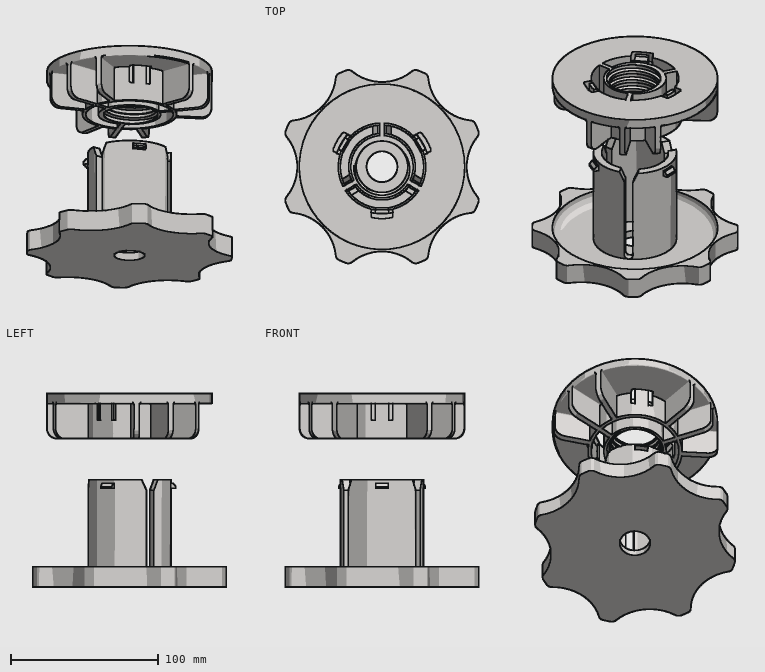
import cadquery as cq
HEIGHT = 131.7
SNAP_ANGLES = (-90, 30, 150)
SPOKE_ANGLES = (90, 210, 330)
FLANGE_RADIUS = 56.2

WHEEL_THICKNESS = 14.0
LOBE_COUNT = 8
LOBE_RADIUS = 70.0
LOBE_CORNER_RADIUS = 4.0
SCALLOP_RADIUS = 32.3
SCALLOP_VALLEY = 57.7
WHEEL_BORE_RADIUS = 10.4

RECESS_DEPTH = 8.5
RECESS_FILLET = 7.0
FLOOR_Z = WHEEL_THICKNESS - RECESS_DEPTH

SLEEVE_OUTER_RADIUS = 28.3
SLEEVE_INNER_RADIUS = 22.7
SLEEVE_TOP_Z = 73.1
SPLIT_HALF_WIDTH = 2.9
SPLIT_MOUTH_HALF_WIDTH = 6.3
SPLIT_MOUTH_DEPTH = 7.2

PEG_RADIUS = 31.6
PEG_TOP_RADIUS = 29.5
PEG_HALF_WIDTH = 4.3
PEG_BOTTOM_Z = 67.0
PEG_SHOULDER_Z = 68.4
PEG_TOP_Z = 70.7

CAP_DEPTH = 30.8
CAP_BOTTOM_Z = HEIGHT - CAP_DEPTH
FLANGE_THICKNESS = 7.0
FLANGE_BOTTOM_Z = HEIGHT - FLANGE_THICKNESS
FLANGE_FILLET = 0.8
BARREL_OUTER_RADIUS = 32.0
BARREL_INNER_RADIUS = 29.8
HUB_RADIUS = 21.2
WEB_THICKNESS = 3.3

RIB_THICKNESS = 3.7
RIB_OFFSET_ANGLE = 35
RIB_CORNER_RADIUS = 7.0

CATCH_HALF_WIDTH = 4.5
CATCH_OPENING_HALF_WIDTH = 7.4
CATCH_OPENING_RADIUS = 35.3
CATCH_OPENING_CORNER = 1.3
CATCH_ROOT_Z = 113.3
HOOK_TOP_RADIUS = 29.1
HOOK_TIP_RADIUS = 27.8
HOOK_TIP_Z = HEIGHT - 2.8
HOOK_BOTTOM_Z = HEIGHT - 6.6

THREAD_MINOR_RADIUS = 17.5
THREAD_MAJOR_RADIUS = 19.4
THREAD_PITCH = 7.0
GROOVE_MOUTH_WIDTH = 4.7
GROOVE_ROOT_WIDTH = 2.5
THREAD_START_ANGLE = -90
GROOVE_LEVEL_Z = 124.6
TURNS_BELOW_LEVEL = 4
GROOVE_TURNS = 6

TOLERANCE = 0.001


def cylinder(radius, bottom, top):
    return cq.Workplane("XY").workplane(offset=bottom).circle(radius).extrude(top - bottom)


def ring(outer, inner, bottom, top):
    return cylinder(outer, bottom, top).cut(cylinder(inner, bottom, top))


def radial_block(start, end, width, bottom, top):
    """Block along +X from radius `start` to radius `end`."""
    return (
        cq.Workplane("XY")
        .box(end - start, width, top - bottom, centered=(False, True, False))
        .translate((start, 0, bottom))
    )


def radial_profile(points, half_width):
    """Prism with an outline of (radius, z) points, as wide as 2 * half_width, along +X."""
    return cq.Workplane("XZ").polyline(points).close().extrude(half_width, both=True)


def turned(shape, angle):
    return shape.rotate((0, 0, 0), (0, 0, 1), angle)


def lobed_rim():
    rim = cylinder(LOBE_RADIUS, 0, WHEEL_THICKNESS)
    scallops = (
        cq.Workplane("XY")
        .polarArray(SCALLOP_VALLEY + SCALLOP_RADIUS, 0, 360, LOBE_COUNT)
        .circle(SCALLOP_RADIUS)
        .extrude(WHEEL_THICKNESS)
    )
    return rim.cut(scallops).edges("|Z").fillet(LOBE_CORNER_RADIUS)


def recess():
    return cylinder(FLANGE_RADIUS, FLOOR_Z, WHEEL_THICKNESS).faces("<Z").edges().fillet(RECESS_FILLET)


def split_cutter():
    """Round-bottomed slot with a flared mouth, through the sleeve wall on the +X side."""
    mouth_z = SLEEVE_TOP_Z - SPLIT_MOUTH_DEPTH
    round_z = FLOOR_Z + SPLIT_HALF_WIDTH
    return (
        cq.Workplane("YZ")
        .moveTo(-SPLIT_HALF_WIDTH, round_z)
        .threePointArc((0, FLOOR_Z), (SPLIT_HALF_WIDTH, round_z))
        .lineTo(SPLIT_HALF_WIDTH, mouth_z)
        .lineTo(SPLIT_MOUTH_HALF_WIDTH, SLEEVE_TOP_Z)
        .lineTo(-SPLIT_MOUTH_HALF_WIDTH, SLEEVE_TOP_Z)
        .lineTo(-SPLIT_HALF_WIDTH, mouth_z)
        .close()
        .extrude(FLANGE_RADIUS)
    )


def peg():
    root = (SLEEVE_INNER_RADIUS + SLEEVE_OUTER_RADIUS) / 2
    outline = [
        (root, PEG_BOTTOM_Z),
        (PEG_RADIUS, PEG_BOTTOM_Z),
        (PEG_RADIUS, PEG_SHOULDER_Z),
        (PEG_TOP_RADIUS, PEG_TOP_Z),
        (root, PEG_TOP_Z),
    ]
    return radial_profile(outline, PEG_HALF_WIDTH)


def make_handwheel():
    sleeve = ring(SLEEVE_OUTER_RADIUS, SLEEVE_INNER_RADIUS, FLOOR_Z, SLEEVE_TOP_Z)
    for angle in SPOKE_ANGLES:
        sleeve = sleeve.cut(turned(split_cutter(), angle))
    for angle in SNAP_ANGLES:
        sleeve = sleeve.union(turned(peg(), angle))
    wheel = lobed_rim().cut(recess()).cut(cylinder(WHEEL_BORE_RADIUS, 0, WHEEL_THICKNESS))
    return wheel.union(sleeve)


def rib_gaps():
    """Space around the barrel, below the flange, that the radial ribs divide."""
    gaps = ring(2 * FLANGE_RADIUS, BARREL_OUTER_RADIUS, CAP_BOTTOM_Z, FLANGE_BOTTOM_Z)
    rib = radial_block(0, 3 * FLANGE_RADIUS, RIB_THICKNESS, CAP_BOTTOM_Z, FLANGE_BOTTOM_Z)
    for angle in SNAP_ANGLES:
        gaps = gaps.cut(turned(rib, angle - RIB_OFFSET_ANGLE))
        gaps = gaps.cut(turned(rib, angle + RIB_OFFSET_ANGLE))
    for angle in SPOKE_ANGLES:
        gaps = gaps.cut(turned(rib, angle))
    return gaps


def round_flange_underside(body):
    """Round the lower rim edges of the flange and the roots of the ribs."""
    edges = [edge for edge in body.edges().vals() if abs(edge.Center().z - FLANGE_BOTTOM_Z) < TOLERANCE]
    rims = [e for e in edges if e.geomType() == "CIRCLE" and e.radius() > BARREL_OUTER_RADIUS + TOLERANCE]
    roots = [e for e in edges if e.geomType() == "LINE"]
    return cq.Workplane(body.val().fillet(FLANGE_FILLET, rims + roots))


def ribbed_flange():
    """Flange and barrel joined by ribs that end flush with the rim and have a round lower corner."""
    blank = cylinder(FLANGE_RADIUS, CAP_BOTTOM_Z, HEIGHT).faces("<Z").edges().fillet(RIB_CORNER_RADIUS)
    return round_flange_underside(blank.cut(rib_gaps()))


def annular_slot():
    """Clearance for the sleeve fingers, interrupted by the webs that carry the hub."""
    slot = ring(BARREL_INNER_RADIUS, HUB_RADIUS, CAP_BOTTOM_Z, HEIGHT)
    web = radial_block(0, FLANGE_RADIUS, WEB_THICKNESS, CAP_BOTTOM_Z, HEIGHT)
    for angle in SPOKE_ANGLES:
        slot = slot.cut(turned(web, angle))
    return slot


def catch_opening():
    width = 2 * CATCH_OPENING_HALF_WIDTH
    window = radial_block(HUB_RADIUS, FLANGE_RADIUS, width, CATCH_ROOT_Z, HEIGHT)
    window = window.edges("|X and <Z").fillet(CATCH_OPENING_CORNER)
    pocket = window.intersect(cylinder(CATCH_OPENING_RADIUS, CATCH_ROOT_Z, HEIGHT))
    pocket = pocket.edges("|Z").edges(">X").fillet(CATCH_OPENING_CORNER)
    return pocket.cut(cylinder(BARREL_INNER_RADIUS, CATCH_ROOT_Z, HEIGHT))


def catch():
    tongue = ring(BARREL_OUTER_RADIUS, BARREL_INNER_RADIUS, CATCH_ROOT_Z, HEIGHT).intersect(
        radial_block(0, FLANGE_RADIUS, 2 * CATCH_HALF_WIDTH, CATCH_ROOT_Z, HEIGHT)
    )
    root = (BARREL_INNER_RADIUS + BARREL_OUTER_RADIUS) / 2
    outline = [
        (root, HEIGHT),
        (HOOK_TOP_RADIUS, HEIGHT),
        (HOOK_TIP_RADIUS, HOOK_TIP_Z),
        (BARREL_INNER_RADIUS, HOOK_BOTTOM_Z),
        (root, HOOK_BOTTOM_Z),
    ]
    return tongue.union(radial_profile(outline, CATCH_HALF_WIDTH))


def groove_turn():
    """One right-handed turn of the thread groove, starting at z = 0."""
    overlap = 0.3
    flank_run = (GROOVE_MOUTH_WIDTH - GROOVE_ROOT_WIDTH) / 2
    flank_slope = flank_run / (THREAD_MAJOR_RADIUS - THREAD_MINOR_RADIUS)
    mouth_radius = THREAD_MINOR_RADIUS - overlap
    mouth = GROOVE_MOUTH_WIDTH / 2 + overlap * flank_slope
    root = GROOVE_ROOT_WIDTH / 2
    outline = [
        (mouth_radius, -mouth),
        (THREAD_MAJOR_RADIUS, -root),
        (THREAD_MAJOR_RADIUS, root),
        (mouth_radius, mouth),
    ]
    helix = cq.Wire.makeHelix(THREAD_PITCH, THREAD_PITCH, THREAD_MINOR_RADIUS)
    turn = cq.Workplane("XZ").polyline(outline).close().sweep(cq.Workplane(helix), isFrenet=True)
    return turned(turn, THREAD_START_ANGLE)


def threaded(body):
    """Bore the hub and cut its thread turn by turn, running out past both ends of the hub."""
    body = body.cut(cylinder(THREAD_MINOR_RADIUS, CAP_BOTTOM_Z, HEIGHT))
    turn = groove_turn()
    for index in range(GROOVE_TURNS):
        level = GROOVE_LEVEL_Z + (index - TURNS_BELOW_LEVEL) * THREAD_PITCH
        body = body.cut(turn.translate((0, 0, level)))
    return body


def make_cap():
    cap = ribbed_flange().cut(annular_slot())
    for angle in SNAP_ANGLES:
        cap = cap.cut(turned(catch_opening(), angle))
        cap = cap.union(turned(catch(), angle))
    return threaded(cap)


handwheel = make_handwheel()
cap = make_cap()

result = cq.Compound.makeCompound([handwheel.val(), cap.val()])